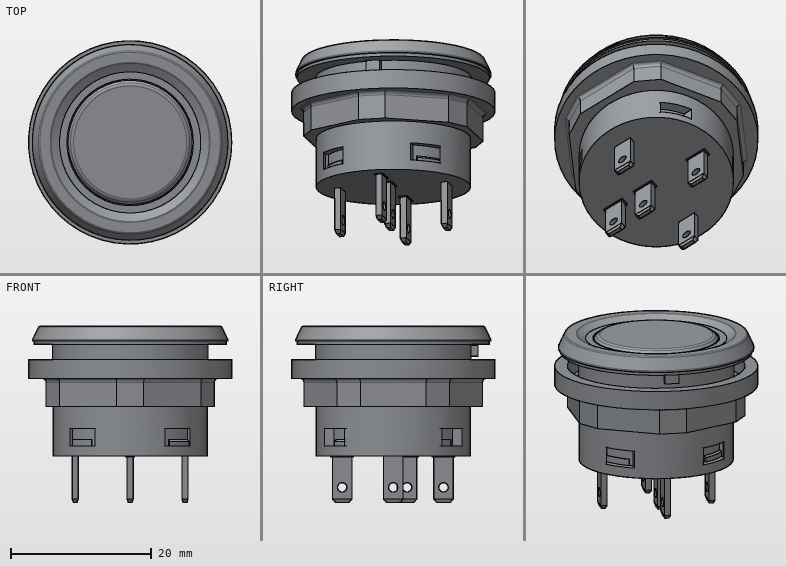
import cadquery as cq
import math

TOLERANCE = 0.003

TOP_Z = 25.15
BEZEL_LIP_Z = 23.03
GASKET_Z = 22.55
NUT_TOP_Z = 20.4
NUT_FLANGE_Z = 17.7
NUT_BOTTOM_Z = 13.7
BODY_BOTTOM_Z = 6.6

BEZEL_RADIUS = 27.9 / 2
BEZEL_TOP_RADIUS = 13.02
BEZEL_EDGE_HEIGHT = 0.17
BEZEL_TOP_FILLET = 0.23
BEZEL_EDGE_FILLET = 0.4
DISH_TOP_RADIUS = 11.35
DISH_FLOOR_RADIUS = 10.05
DISH_DEPTH = 0.67
GASKET_RADIUS = 27.4 / 2

GROOVE_RADIUS = 9.02
GROOVE_DEPTH = 0.5
BUTTON_RADIUS = 8.85
BUTTON_TOP_Z = 25.0
BUTTON_ROUND = 0.6
BUTTON_BEVEL_ANGLE = 45
BUTTON_FLAT_RADIUS = 8.05

NECK_RADIUS = 22.2 / 2
BODY_RADIUS = 22.0 / 2
NUT_FLANGE_RADIUS = 29 / 2
NUT_APOTHEM = 12.0
NUT_CORNER_APOTHEM = 12.745
NUT_FILLET = 0.55
NUT_BORE_RADIUS = 25.35 / 2
NUT_BORE_FLOOR_Z = 17.98
COLLAR_RADIUS = 11.16
COLLAR_TOP_Z = 18.8

KEY_REACH = 12.1
KEY_WIDTH = 2.0
KEY_BOTTOM_Z = 20.85
KEY_TOP_Z = 22.42

WINDOW_BOTTOM_Z = 8.05
WINDOW_TOP_Z = 10.55
WINDOW_FLOOR_RADIUS = 9.83
WINDOW_NEAR_X = 5.0
WINDOW_FAR_X = 8.55
CLIP_WIDTH = 3.9
CLIP_TOP_Z = 9.0
LARGE_CLIP_STEP = 0.25
SMALL_CLIP_STEP = 0.1

BLADE_THICKNESS = 0.9
BLADE_WIDTH = 2.8
TIP_HEIGHT = 0.52
TIP_INSET_X = 0.17
TIP_INSET_Y = 0.45
HOLE_DIAMETER = 1.3
HOLE_Z = 2.18
SIDE_BLADE_X = 7.83
CENTER_BLADE_YS = (7.15, 1.97, -7.28)
PAD_THICKNESS = 1.3
PAD_WIDTH = 3.28
PAD_HEIGHT = 0.1


def disc(radius, bottom, top):
    return cq.Workplane("XY").workplane(offset=bottom).circle(radius).extrude(top - bottom)


def plan_prism(corners, bottom, top):
    return cq.Workplane("XY").workplane(offset=bottom).polyline(corners).close().extrude(top - bottom)


def round_rim(solid, radius, z, fillet):
    """Fillet the circular edge of the given radius and height."""
    edges = [
        edge
        for edge in solid.edges("%CIRCLE").vals()
        if abs(edge.radius() - radius) < TOLERANCE and abs(edge.Center().z - z) < TOLERANCE
    ]
    return solid.newObject(edges).fillet(fillet)


def make_bezel():
    dish_z = TOP_Z - DISH_DEPTH
    bezel = (
        cq.Workplane("XZ")
        .moveTo(0, BEZEL_LIP_Z)
        .lineTo(BEZEL_RADIUS, BEZEL_LIP_Z)
        .lineTo(BEZEL_RADIUS, BEZEL_LIP_Z + BEZEL_EDGE_HEIGHT)
        .lineTo(BEZEL_TOP_RADIUS, TOP_Z)
        .lineTo(DISH_TOP_RADIUS, TOP_Z)
        .lineTo(DISH_FLOOR_RADIUS, dish_z)
        .lineTo(GROOVE_RADIUS, dish_z)
        .lineTo(GROOVE_RADIUS, dish_z - GROOVE_DEPTH)
        .lineTo(0, dish_z - GROOVE_DEPTH)
        .close()
        .revolve(360, (0, 0), (0, 1))
    )
    bezel = round_rim(bezel, BEZEL_RADIUS, BEZEL_LIP_Z + BEZEL_EDGE_HEIGHT, BEZEL_EDGE_FILLET)
    bezel = round_rim(bezel, BEZEL_TOP_RADIUS, TOP_Z, BEZEL_TOP_FILLET)
    bezel = round_rim(bezel, DISH_TOP_RADIUS, TOP_Z, BEZEL_TOP_FILLET)
    return bezel.union(disc(GASKET_RADIUS, GASKET_Z, BEZEL_LIP_Z))


def make_button():
    def point_on_round(degrees):
        """Point on the rim rounding, turned from the flat top towards the bevel."""
        angle = math.radians(degrees)
        return (
            BUTTON_FLAT_RADIUS + BUTTON_ROUND * math.sin(angle),
            BUTTON_TOP_Z - BUTTON_ROUND * (1 - math.cos(angle)),
        )

    bevel_start, bevel_z = point_on_round(BUTTON_BEVEL_ANGLE)
    bevel_drop = (BUTTON_RADIUS - bevel_start) * math.tan(math.radians(BUTTON_BEVEL_ANGLE))
    rim_z = bevel_z - bevel_drop
    return (
        cq.Workplane("XZ")
        .moveTo(0, BEZEL_LIP_Z)
        .lineTo(BUTTON_RADIUS, BEZEL_LIP_Z)
        .lineTo(BUTTON_RADIUS, rim_z)
        .lineTo(bevel_start, bevel_z)
        .threePointArc(point_on_round(BUTTON_BEVEL_ANGLE / 2), (BUTTON_FLAT_RADIUS, BUTTON_TOP_Z))
        .lineTo(0, BUTTON_TOP_Z)
        .close()
        .revolve(360, (0, 0), (0, 1))
    )


def hexagon(apothem, first_corner_angle):
    """Hexagonal prism spanning the nut height below its flange."""
    corner_radius = apothem / math.cos(math.radians(30))
    angles = [math.radians(first_corner_angle + 60 * i) for i in range(6)]
    corners = [(corner_radius * math.cos(a), corner_radius * math.sin(a)) for a in angles]
    return plan_prism(corners, NUT_BOTTOM_Z, NUT_FLANGE_Z)


def make_nut():
    """Round flange over a hexagon whose corners are cut by a second hexagon."""
    wrench_part = hexagon(NUT_APOTHEM, 30).intersect(hexagon(NUT_CORNER_APOTHEM, 0))
    nut = wrench_part.union(disc(NUT_FLANGE_RADIUS, NUT_FLANGE_Z, NUT_TOP_Z))
    joint = [edge for edge in nut.edges("%LINE").vals() if abs(edge.Center().z - NUT_FLANGE_Z) < TOLERANCE]
    nut = nut.newObject(joint).fillet(NUT_FILLET)
    return nut.cut(disc(NUT_BORE_RADIUS, NUT_BORE_FLOOR_Z, NUT_TOP_Z))


def make_key():
    return (
        cq.Workplane("XY")
        .workplane(offset=KEY_BOTTOM_Z)
        .center(0, KEY_REACH / 2)
        .rect(KEY_WIDTH, KEY_REACH)
        .extrude(KEY_TOP_Z - KEY_BOTTOM_Z)
    )


def make_window(clip_step, bevelled):
    """Cutter for the window in the +X +Y quarter.

    The side walls run along Y. The clip is a band of constant width pointing out at 45 degrees,
    and the far wall bends to follow the side of that band. The clip is raised from the curved floor,
    and a bevelled clip slopes down from the floor to its outer face.
    """
    band = CLIP_WIDTH / math.sqrt(2)
    opening = plan_prism(
        [
            (WINDOW_NEAR_X, BODY_RADIUS),
            (WINDOW_NEAR_X, WINDOW_NEAR_X - band),
            (WINDOW_FAR_X, WINDOW_FAR_X - band),
            (WINDOW_FAR_X, BODY_RADIUS),
        ],
        WINDOW_BOTTOM_Z,
        WINDOW_TOP_Z,
    )
    clip_band = plan_prism(
        [(0, -band), (0, band), (BODY_RADIUS, BODY_RADIUS + band), (BODY_RADIUS, BODY_RADIUS - band)],
        WINDOW_BOTTOM_Z,
        CLIP_TOP_Z,
    )
    floor = disc(WINDOW_FLOOR_RADIUS, WINDOW_BOTTOM_Z, WINDOW_TOP_Z)
    clip = disc(WINDOW_FLOOR_RADIUS + clip_step, WINDOW_BOTTOM_Z, CLIP_TOP_Z)
    if bevelled:
        clip = clip.faces(">Z").chamfer(clip_step)
    return opening.cut(floor).cut(clip.intersect(clip_band))


def make_body():
    body = disc(BODY_RADIUS, BODY_BOTTOM_Z, NUT_BOTTOM_Z)
    small_clip_window = make_window(SMALL_CLIP_STEP, bevelled=False)
    large_clip_window = make_window(LARGE_CLIP_STEP, bevelled=True).mirror("XZ")
    for turn in (0, 180):
        for window in (small_clip_window, large_clip_window):
            body = body.cut(window.rotate((0, 0, 0), (0, 0, 1), turn))
    return body


def make_blade(x, y):
    """Terminal blade with a tapered tip and a cross hole."""
    blade = (
        cq.Workplane("XY")
        .workplane(offset=TIP_HEIGHT)
        .rect(BLADE_THICKNESS, BLADE_WIDTH)
        .extrude(BODY_BOTTOM_Z - TIP_HEIGHT)
    )
    tip = (
        cq.Workplane("XY")
        .rect(BLADE_THICKNESS - 2 * TIP_INSET_X, BLADE_WIDTH - 2 * TIP_INSET_Y)
        .workplane(offset=TIP_HEIGHT)
        .rect(BLADE_THICKNESS, BLADE_WIDTH)
        .loft()
    )
    hole = (
        cq.Workplane("YZ")
        .center(0, HOLE_Z)
        .circle(HOLE_DIAMETER / 2)
        .extrude(BLADE_THICKNESS, both=True)
    )
    return blade.union(tip).cut(hole).translate((x, y, 0))


def make_pad(y):
    """Thin raised pad around the root of a centre blade."""
    return (
        cq.Workplane("XY")
        .workplane(offset=BODY_BOTTOM_Z - PAD_HEIGHT)
        .center(0, y)
        .rect(PAD_THICKNESS, PAD_WIDTH)
        .extrude(PAD_HEIGHT)
    )


result = (
    make_body()
    .union(make_nut())
    .union(disc(COLLAR_RADIUS, NUT_BORE_FLOOR_Z, COLLAR_TOP_Z))
    .union(disc(NECK_RADIUS, COLLAR_TOP_Z, GASKET_Z))
    .union(make_key())
    .union(make_bezel())
    .union(make_button())
)
for side_x in (-SIDE_BLADE_X, SIDE_BLADE_X):
    result = result.union(make_blade(side_x, 0))
for blade_y in CENTER_BLADE_YS:
    result = result.union(make_blade(0, blade_y)).union(make_pad(blade_y))